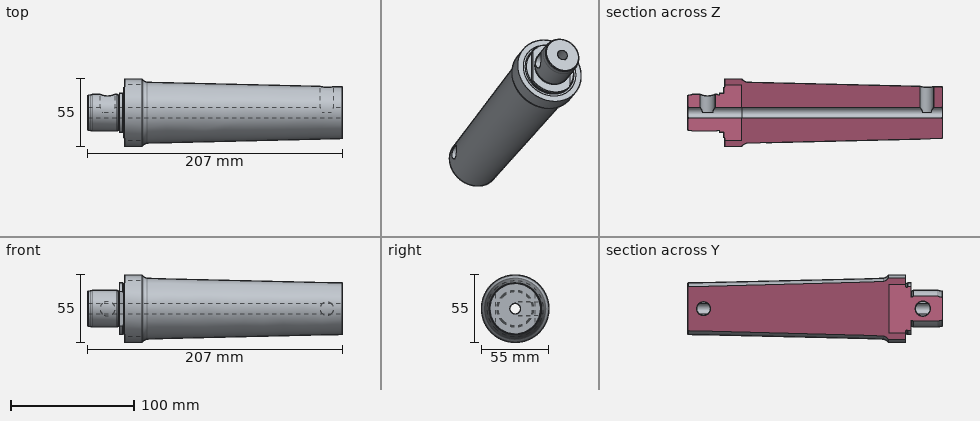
import cadquery as cq

TOTAL_LENGTH = 207.0
BORE_RADIUS = 8.5 / 2

STUB_RADIUS = 30.0 / 2
STUB_END_RADIUS = 14.5
STUB_TIP_CHAMFER = 0.6
TIP_BAND_END = 2.0
STUB_START = 3.7
STUB_END = 23.8
RELIEF_START = 24.8
COLLAR_START = 25.7
COLLAR_RADIUS = 21.1
COLLAR_CHAMFER = 0.8
FLAT_WIDTH = 31.9
NECK_START = 29.2
NECK_RADIUS = COLLAR_RADIUS - COLLAR_CHAMFER
PLUG_RADIUS = 22.8

HEAD_START = 30.0
HEAD_END = 43.9
HEAD_RADIUS = 55.0 / 2
FLARE_CONE = 0.8
FLARE_END = 48.2
HANDLE_RADIUS = 24.8
HANDLE_END_RADIUS = 21.1
HANDLE_CHAMFER = 0.6

PLUG_END = HEAD_END

STUB_HOLE_DIAMETER = 12.0
STUB_HOLE_X = 16.1
HANDLE_HOLE_DIAMETER = 11.0
HANDLE_HOLE_X = 194.2


def revolve_about_x(profile):
    return profile.close().revolve(360, (0, 0, 0), (1, 0, 0))


def radial_hole(x, diameter):
    """Cutter running from the axis out through the +Y side."""
    plane = cq.Plane(origin=(x, 0, 0), xDir=(1, 0, 0), normal=(0, 1, 0))
    return cq.Workplane(plane).circle(diameter / 2).extrude(HEAD_RADIUS)


def flat_cutter(side):
    """Block that leaves one wrench flat on the collar, at +Y or -Y."""
    depth = COLLAR_RADIUS
    return (
        cq.Workplane("XY")
        .box(NECK_START - COLLAR_START, depth, 2 * COLLAR_RADIUS, centered=(False, True, True))
        .translate((COLLAR_START, side * (FLAT_WIDTH + depth) / 2, 0))
    )


def make_insert():
    profile = (
        cq.Workplane("XY")
        .moveTo(0, BORE_RADIUS)
        .lineTo(0, STUB_END_RADIUS - STUB_TIP_CHAMFER)
        .lineTo(STUB_TIP_CHAMFER, STUB_END_RADIUS)
        .lineTo(TIP_BAND_END, STUB_END_RADIUS)
        .lineTo(STUB_START, STUB_RADIUS)
        .lineTo(STUB_END, STUB_RADIUS)
        .lineTo(RELIEF_START, STUB_END_RADIUS)
        .lineTo(COLLAR_START, STUB_END_RADIUS)
        .lineTo(COLLAR_START, COLLAR_RADIUS)
        .lineTo(NECK_START - COLLAR_CHAMFER, COLLAR_RADIUS)
        .lineTo(NECK_START, NECK_RADIUS)
        .lineTo(HEAD_START, COLLAR_RADIUS)
        .lineTo(HEAD_START, PLUG_RADIUS)
        .lineTo(PLUG_END, PLUG_RADIUS)
        .lineTo(PLUG_END, BORE_RADIUS)
    )
    body = revolve_about_x(profile)
    for side in (-1, 1):
        body = body.cut(flat_cutter(side))
    return body.cut(radial_hole(STUB_HOLE_X, STUB_HOLE_DIAMETER))


def make_sleeve():
    profile = (
        cq.Workplane("XY")
        .moveTo(HEAD_START, PLUG_RADIUS)
        .lineTo(HEAD_START, HEAD_RADIUS)
        .lineTo(HEAD_END, HEAD_RADIUS)
        .lineTo(HEAD_END + FLARE_CONE, HEAD_RADIUS - FLARE_CONE)
        .tangentArcPoint((FLARE_END, HANDLE_RADIUS), relative=False)
        .lineTo(TOTAL_LENGTH - HANDLE_CHAMFER, HANDLE_END_RADIUS)
        .lineTo(TOTAL_LENGTH, HANDLE_END_RADIUS - HANDLE_CHAMFER)
        .lineTo(TOTAL_LENGTH, BORE_RADIUS)
        .lineTo(PLUG_END, BORE_RADIUS)
        .lineTo(PLUG_END, PLUG_RADIUS)
    )
    return revolve_about_x(profile).cut(radial_hole(HANDLE_HOLE_X, HANDLE_HOLE_DIAMETER))


insert = make_insert()
sleeve = make_sleeve()

result = cq.Compound.makeCompound([insert.val(), sleeve.val()])